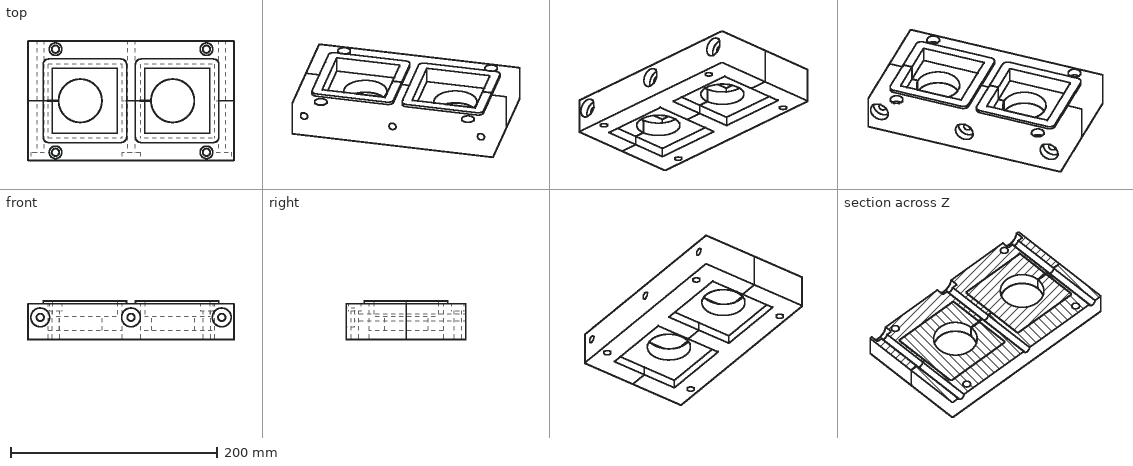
import cadquery as cq

FRAME_LENGTH = 200.0
FRAME_WIDTH = 116.0
FRAME_HEIGHT = 35.0
EDGE_FILLET = 1.0

CLAMP_SPACING = 88.0
CLAMP_HEIGHT = 21.5
CLAMP_COUNTERBORE_DIAMETER = 18.2
CLAMP_COUNTERBORE_DEPTH = 8.0

MOUNT_X = 73.2
MOUNT_Y = 50.0
MOUNT_COUNTERBORE_DIAMETER = 12.2
MOUNT_COUNTERBORE_DEPTH = 7.0

SCREW_HOLE_DIAMETER = 7.0

TOTAL_HEIGHT = 37.5
INSERT_SPACING = 89.5
FLANGE_SIZE = 81.0
FLANGE_CORNER_RADIUS = 5.5
PLUG_SIZE = 72.0
PLUG_BOTTOM = 9.0
POCKET_SIZE = 62.8
POCKET_DEPTH = 15.0
CABLE_HOLE_DIAMETER = 41.8
CABLE_HOLE_OFFSET = -4.5
SLIT_WIDTH = 0.5

INSERT_CENTERS = (-INSERT_SPACING / 2, INSERT_SPACING / 2)
CLAMP_CENTERS = (-CLAMP_SPACING, 0.0, CLAMP_SPACING)


def make_frame():
    """Whole frame block with its openings and screw holes, before it is split."""
    frame = (
        cq.Workplane("XY")
        .box(FRAME_LENGTH, FRAME_WIDTH, FRAME_HEIGHT, centered=(True, True, False))
        .edges("|Z or >Z")
        .fillet(EDGE_FILLET)
    )
    openings = (
        cq.Workplane("XY")
        .pushPoints([(x, 0) for x in INSERT_CENTERS])
        .rect(PLUG_SIZE, PLUG_SIZE)
        .extrude(FRAME_HEIGHT)
    )
    mounts = (
        cq.Workplane("XY", origin=(0, 0, FRAME_HEIGHT))
        .rect(2 * MOUNT_X, 2 * MOUNT_Y, forConstruction=True)
        .vertices()
    )
    mount_holes = mounts.circle(SCREW_HOLE_DIAMETER / 2).extrude(-FRAME_HEIGHT)
    mount_counterbores = mounts.circle(MOUNT_COUNTERBORE_DIAMETER / 2).extrude(-MOUNT_COUNTERBORE_DEPTH)
    clamps = cq.Workplane("XZ", origin=(0, -FRAME_WIDTH / 2, CLAMP_HEIGHT)).pushPoints(
        [(x, 0) for x in CLAMP_CENTERS]
    )
    clamp_holes = clamps.circle(SCREW_HOLE_DIAMETER / 2).extrude(-FRAME_WIDTH)
    clamp_counterbores = clamps.circle(CLAMP_COUNTERBORE_DIAMETER / 2).extrude(-CLAMP_COUNTERBORE_DEPTH)

    for cutter in (openings, mount_holes, mount_counterbores, clamp_holes, clamp_counterbores):
        frame = frame.cut(cutter)
    return frame


def make_frame_half(side):
    """Half of the frame on the -Y (side = -1) or +Y (side = 1) side of the parting plane."""
    half_space = cq.Workplane("XY").box(
        FRAME_LENGTH, FRAME_WIDTH / 2, FRAME_HEIGHT, centered=(True, True, False)
    )
    return make_frame().intersect(half_space.translate((0, side * FRAME_WIDTH / 4, 0)))


def make_insert(center_x):
    """Cable insert with a top pocket, an off-center cable hole and a slit on its -X side."""
    plug = (
        cq.Workplane("XY", origin=(0, 0, PLUG_BOTTOM))
        .rect(PLUG_SIZE, PLUG_SIZE)
        .extrude(FRAME_HEIGHT - PLUG_BOTTOM)
    )
    flange = (
        cq.Workplane("XY", origin=(0, 0, FRAME_HEIGHT))
        .rect(FLANGE_SIZE, FLANGE_SIZE)
        .extrude(TOTAL_HEIGHT - FRAME_HEIGHT)
        .edges("|Z")
        .fillet(FLANGE_CORNER_RADIUS)
    )
    pocket = (
        cq.Workplane("XY", origin=(0, 0, TOTAL_HEIGHT))
        .rect(POCKET_SIZE, POCKET_SIZE)
        .extrude(-POCKET_DEPTH)
    )
    cable_hole = (
        cq.Workplane("XY")
        .center(CABLE_HOLE_OFFSET, 0)
        .circle(CABLE_HOLE_DIAMETER / 2)
        .extrude(TOTAL_HEIGHT)
    )
    slit_length = FLANGE_SIZE / 2 + CABLE_HOLE_OFFSET
    slit = (
        cq.Workplane("XY")
        .box(slit_length, SLIT_WIDTH, TOTAL_HEIGHT, centered=(False, True, False))
        .translate((-FLANGE_SIZE / 2, 0, 0))
    )
    insert = plug.union(flange).cut(pocket).cut(cable_hole).cut(slit)
    return insert.translate((center_x, 0, 0))


frame_halves = [make_frame_half(side) for side in (-1, 1)]
inserts = [make_insert(center_x) for center_x in INSERT_CENTERS]

result = cq.Compound.makeCompound([body.val() for body in frame_halves + inserts])